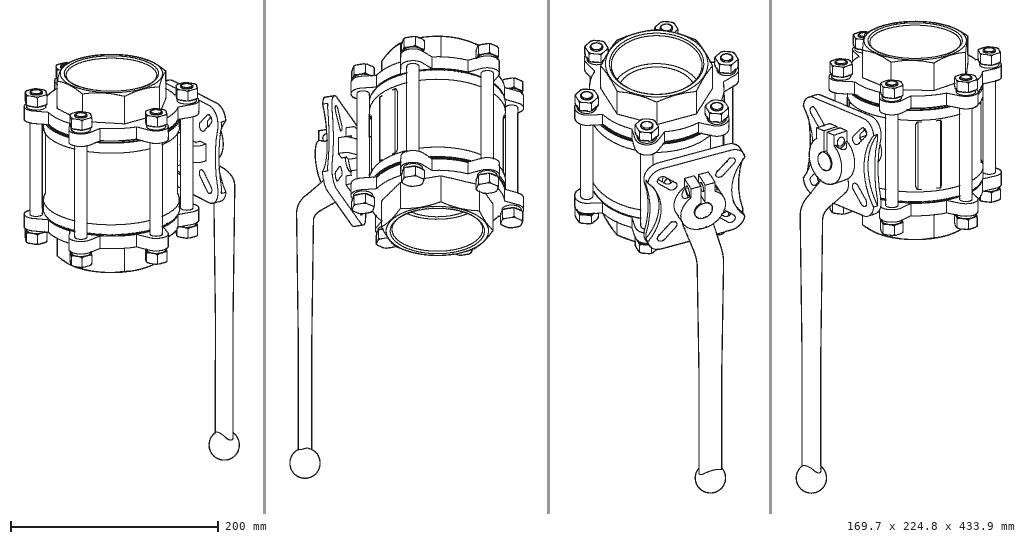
import cadquery as cq
import math


bore_dia = 76.0
ring_dia = 131.5
barrel_dia = 127.5
shoulder_dia = 129.5
gasket_dia = 128.5
barrel_half = 32.0
shoulder_half = 35.0
ring_inner_half = 37.5
ring_outer_half = 47.7

flange_dia = 130.0
flange_start = 49.5
flange_end = 62.5
cap_end = 93.7
octagon_flats = 100.0
octagon_chamfer_radius = 49.5
octagon_chamfer_slope = math.tan(math.radians(30))
thread_mouth_radius = 44.0
thread_root_radius = 43.0
mouth_chamfer = 1.7
thread_depth = 36.5

bolt_count = 6
bolt_circle_dia = 146.3
bolt_circle_radius = bolt_circle_dia / 2
lug_radius = 11.7
lug_root_angle = 14.2
rod_dia = 12.0
washer_dia = 18.5
washer_height = 3.5
nut_flats = 20.0
nut_height = 11.0
nut_chamfer = 1.0
rod_tip = 1.5
rod_tip_chamfer = 1.0

pad_angle = 150
pad_face_distance = 64.2
pad_face_width = 22.0
pad_base_width = 29.0
pad_base_distance = 60.8

neck_dia = 38.0
neck_top = 85.0
plate_bottom = 90.3
plate_top = 100.0
plate_side = 101.5
plate_corner_radius = 14.8
waist_half_length = 32.0
waist_depth = 4.5
recess_bottom = 94.5
recess_half_length = 37.5
recess_reach = 14.0
slot_dia = 9.0
slot_inner_radius = 35.0
slot_outer_radius = 51.0
arm_width = 17.5
arm_outer = 31.2
arm_inner = 21.5
arm_end_bottom = 82.0
arm_corner_radius = 3.0
stem_dia = 22.5
stem_end_dia = 18.5
stem_end = 118.0

hub_dia = 47.0
hub_top = 116.7
clamp_half_width = 12.5
clamp_end = 31.0
clamp_slit = 4.5
clamp_hole_dia = 9.0
clamp_seat_dia = 13.0
clamp_hole_y = 108.0
clamp_hole_z = 21.5
bend_radius = 15.5
bend_angle = 60
crank_length = 39.0
crank_hub_width = 29.5
crank_hub_thickness = 25.0
handle_y = 135.0
handle_start = -54.2
handle_taper_end = -190.0
handle_top_width = 27.0
handle_top_thickness = 14.5
handle_width = 23.5
handle_thickness = 11.0
oval_corner_across = 0.36
oval_corner_through = 0.38
ball_dia = 29.5
ball_z = -325.5


def y_cylinder(dia, start, end):
    return cq.Workplane("XZ", origin=(0, start, 0)).circle(dia / 2).extrude(start - end)


def z_cylinder(dia, start, end):
    return cq.Workplane("XY").workplane(offset=start).circle(dia / 2).extrude(end - start)


def bolt_angles():
    return [i * 360 / bolt_count for i in range(bolt_count)]


def barrel():
    """Turned centre section with a ring at each end."""
    upper = [
        (barrel_dia / 2, barrel_half),
        (shoulder_dia / 2, shoulder_half),
        (ring_dia / 2, ring_inner_half),
        (ring_dia / 2, ring_outer_half),
        (gasket_dia / 2, ring_outer_half),
        (gasket_dia / 2, flange_start),
    ]
    lower = [(r, -z) for r, z in reversed(upper)]
    outline = [(0, -flange_start)] + lower + upper + [(0, flange_start)]
    return cq.Workplane("XZ").polyline(outline).close().revolve(360, (0, 0), (0, 1))


def name_plate_pad():
    """Flat pad with bevelled sides on the barrel."""
    section = [
        (pad_base_distance, -pad_base_width / 2),
        (pad_face_distance, -pad_face_width / 2),
        (pad_face_distance, pad_face_width / 2),
        (pad_base_distance, pad_base_width / 2),
    ]
    pad = cq.Workplane("XY").workplane(offset=-shoulder_half).polyline(section).close()
    return pad.extrude(2 * shoulder_half).rotate((0, 0, 0), (0, 0, 1), pad_angle)


def bolt_lug():
    """Flange ear on +X whose sides run tangent to its round end."""
    root = math.radians(lug_root_angle)
    root_x = flange_dia / 2 * math.cos(root)
    root_y = flange_dia / 2 * math.sin(root)
    reach = bolt_circle_radius - root_x
    root_distance = math.hypot(reach, root_y)
    side_angle = math.atan2(root_y, reach) - math.asin(lug_radius / root_distance)
    tangent_x = bolt_circle_radius + lug_radius * math.sin(side_angle)
    tangent_y = lug_radius * math.cos(side_angle)
    return (
        cq.Workplane("XY")
        .workplane(offset=flange_start)
        .moveTo(0, 0)
        .lineTo(root_x, -root_y)
        .lineTo(tangent_x, -tangent_y)
        .threePointArc((bolt_circle_radius + lug_radius, 0), (tangent_x, tangent_y))
        .lineTo(root_x, root_y)
        .close()
        .extrude(flange_end - flange_start)
    )


def octagon():
    """Wrench octagon whose outer corners are trimmed by a cone."""
    corner_dia = octagon_flats / math.cos(math.pi / 8)
    block = (
        cq.Workplane("XY")
        .workplane(offset=flange_end)
        .polygon(8, corner_dia)
        .extrude(cap_end - flange_end)
        .rotate((0, 0, 0), (0, 0, 1), 180 / 8)
    )
    envelope_radius = flange_dia / 2
    chamfer_drop = (envelope_radius - octagon_chamfer_radius) * octagon_chamfer_slope
    envelope = (
        cq.Workplane("XZ")
        .polyline([
            (0, flange_end),
            (envelope_radius, flange_end),
            (envelope_radius, cap_end - chamfer_drop),
            (octagon_chamfer_radius, cap_end),
            (0, cap_end),
        ])
        .close()
        .revolve(360, (0, 0), (0, 1))
    )
    return block.intersect(envelope)


def thread_bore():
    """Taper bore of an end cap with a chamfered mouth."""
    return (
        cq.Workplane("XZ")
        .polyline([
            (0, cap_end),
            (thread_mouth_radius + mouth_chamfer, cap_end),
            (thread_mouth_radius, cap_end - mouth_chamfer),
            (thread_root_radius, cap_end - thread_depth),
            (0, cap_end - thread_depth),
        ])
        .close()
        .revolve(360, (0, 0), (0, 1))
    )


def end_cap():
    cap = z_cylinder(flange_dia, flange_start, flange_end).union(octagon())
    lug = bolt_lug()
    for angle in bolt_angles():
        cap = cap.union(lug.rotate((0, 0, 0), (0, 0, 1), angle))
    return cap.cut(thread_bore())


def hex_nut(start):
    """Hexagon with two corners along Y and both end faces chamfered."""
    corner_dia = nut_flats / math.cos(math.pi / 6)
    nut = cq.Workplane("XY").workplane(offset=start).polygon(6, corner_dia).extrude(nut_height)
    turned = z_cylinder(corner_dia, start, start + nut_height).edges().chamfer(nut_chamfer)
    return nut.rotate((0, 0, 0), (0, 0, 1), 30).intersect(turned)


def bolt():
    nut_start = flange_end + washer_height
    nut_end = nut_start + nut_height
    rod = z_cylinder(rod_dia, -nut_start, nut_end + rod_tip).faces(">Z").chamfer(rod_tip_chamfer)
    return (
        rod.union(z_cylinder(washer_dia, flange_end, nut_start))
        .union(z_cylinder(washer_dia, -nut_start, -flange_end))
        .union(hex_nut(nut_start))
        .union(hex_nut(-nut_end))
    )


def mounting_arm():
    """Arm on +X that rises at 45 degrees from the neck to the mounting plate."""
    slope_drop = arm_outer - neck_dia / 2
    return (
        cq.Workplane("XY")
        .workplane(offset=-arm_width / 2)
        .polyline([
            (0, neck_top),
            (0, arm_end_bottom - slope_drop),
            (neck_dia / 2, arm_end_bottom - slope_drop),
            (arm_outer, arm_end_bottom),
            (arm_outer, plate_bottom),
            (arm_inner, plate_bottom),
            (arm_inner, neck_top),
        ])
        .close()
        .extrude(arm_width)
        .edges(cq.NearestToPointSelector((arm_outer, arm_end_bottom, 0)))
        .fillet(arm_corner_radius)
    )


def side_hollow(side, half_length, reach, bottom):
    """Shallow arc segment cut into the -X or +X edge of the mounting plate."""
    edge_x = side * plate_side / 2
    return (
        cq.Workplane("XZ", origin=(0, bottom, 0))
        .moveTo(edge_x, -half_length)
        .threePointArc((edge_x - side * reach, 0), (edge_x, half_length))
        .close()
        .extrude(bottom - plate_top)
    )


def mounting_plate():
    """Square plate with radial slots, waisted sides and a recess in each waist."""
    thickness = plate_top - plate_bottom
    plate = (
        cq.Workplane("XZ", origin=(0, plate_bottom, 0))
        .rect(plate_side, plate_side)
        .extrude(-thickness)
        .edges("|Y")
        .fillet(plate_corner_radius)
    )
    for side in (-1, 1):
        waist = side_hollow(side, waist_half_length, waist_depth, plate_bottom)
        recess = side_hollow(side, recess_half_length, recess_reach, recess_bottom)
        plate = plate.cut(waist).cut(recess)
    slot_length = slot_outer_radius - slot_inner_radius + slot_dia
    slot_centre = (slot_outer_radius + slot_inner_radius) / 2
    slots = (
        cq.Workplane("XZ", origin=(0, plate_bottom, 0))
        .polarArray(slot_centre, 45, 360, 4)
        .slot2D(slot_length, slot_dia)
        .extrude(-thickness)
    )
    return plate.cut(slots)


def make_valve():
    cap = end_cap()
    valve = barrel().union(name_plate_pad())
    valve = valve.union(cap).union(cap.mirror("XY"))
    one_bolt = bolt()
    for angle in bolt_angles():
        bolt_x = bolt_circle_radius * math.cos(math.radians(angle))
        bolt_y = bolt_circle_radius * math.sin(math.radians(angle))
        valve = valve.union(one_bolt.translate((bolt_x, bolt_y, 0)))
    valve = valve.union(y_cylinder(neck_dia, 0, neck_top))
    arm = mounting_arm()
    for angle in (0, 90, 180, 270):
        valve = valve.union(arm.rotate((0, 0, 0), (0, 1, 0), angle))
    valve = valve.union(mounting_plate())
    valve = valve.union(y_cylinder(stem_dia, neck_top, plate_bottom))
    valve = valve.union(y_cylinder(stem_end_dia, plate_bottom, stem_end))
    return valve.cut(z_cylinder(bore_dia, -cap_end, cap_end))


def clamp_hub():
    """Round hub with a clamp block on +Z."""
    hub = y_cylinder(hub_dia, plate_top, hub_top)
    clamp = cq.Workplane("XY").box(
        2 * clamp_half_width, hub_top - plate_top, clamp_end, centered=(True, False, False)
    )
    return hub.union(clamp.translate((0, plate_top, 0)))


def clamp_cuts():
    """Stem bore, clamp slit and cross hole with a round seat at each end."""
    slit = cq.Workplane("XY").box(
        clamp_slit, hub_top - plate_top, clamp_end, centered=(True, False, False)
    )
    cuts = y_cylinder(stem_end_dia, plate_top, stem_end).union(slit.translate((0, plate_top, 0)))
    hole_centre = (clamp_hole_y, clamp_hole_z)
    hole = cq.Workplane("YZ").center(*hole_centre).circle(clamp_hole_dia / 2).extrude(hub_dia / 2, both=True)
    seat = (
        cq.Workplane("YZ")
        .workplane(offset=clamp_half_width)
        .center(*hole_centre)
        .circle(clamp_seat_dia / 2)
        .extrude(hub_dia / 2 - clamp_half_width)
    )
    return cuts.union(hole).union(seat).union(seat.mirror("YZ"))


def oval(plane, width, thickness):
    """Flattened oval: gently bowed faces and tight round ends."""
    corner_x = oval_corner_across * width
    corner_y = oval_corner_through * thickness
    return (
        plane.moveTo(-corner_x, -corner_y)
        .threePointArc((0, -thickness / 2), (corner_x, -corner_y))
        .threePointArc((width / 2, 0), (corner_x, corner_y))
        .threePointArc((0, thickness / 2), (-corner_x, corner_y))
        .threePointArc((-width / 2, 0), (-corner_x, -corner_y))
        .close()
    )


def crank():
    """Oval arm that bends off the handle and thickens towards the hub, flush with the hub's foot."""
    start = oval(
        cq.Workplane("XY", origin=(0, handle_y, handle_start)), handle_top_width, handle_top_thickness
    )
    bend = start.revolve(bend_angle, (0, -bend_radius), (1, -bend_radius))
    angle = math.radians(bend_angle)
    bend_end = (
        0,
        handle_y - bend_radius * (1 - math.cos(angle)),
        handle_start + bend_radius * math.sin(angle),
    )
    slope = cq.Plane(bend_end, xDir=(1, 0, 0), normal=(0, -math.sin(angle), math.cos(angle)))
    arm = oval(cq.Workplane(slope), handle_top_width, handle_top_thickness)
    arm = oval(arm.workplane(offset=crank_length), crank_hub_width, crank_hub_thickness)
    arm = arm.loft(combine=True)
    below_hub = y_cylinder(plate_side, 0, plate_top)
    return bend.union(arm.cut(below_hub))


def handle():
    """Oval bar that tapers, then runs straight into the ball knob."""
    top = cq.Workplane("XY", origin=(0, handle_y, handle_start))
    top = oval(top, handle_top_width, handle_top_thickness)
    taper = oval(top.workplane(offset=handle_taper_end - handle_start), handle_width, handle_thickness)
    taper = taper.loft(combine=True)
    grip = cq.Workplane("XY", origin=(0, handle_y, handle_taper_end))
    grip = oval(grip, handle_width, handle_thickness).extrude(ball_z - handle_taper_end)
    ball = cq.Workplane("XY").sphere(ball_dia / 2).translate((0, handle_y, ball_z))
    return taper.union(grip).union(ball)


def make_lever():
    return clamp_hub().union(crank()).union(handle()).cut(clamp_cuts())


valve = make_valve()
lever = make_lever()

result = cq.Compound.makeCompound([valve.solids().val(), lever.solids().val()])